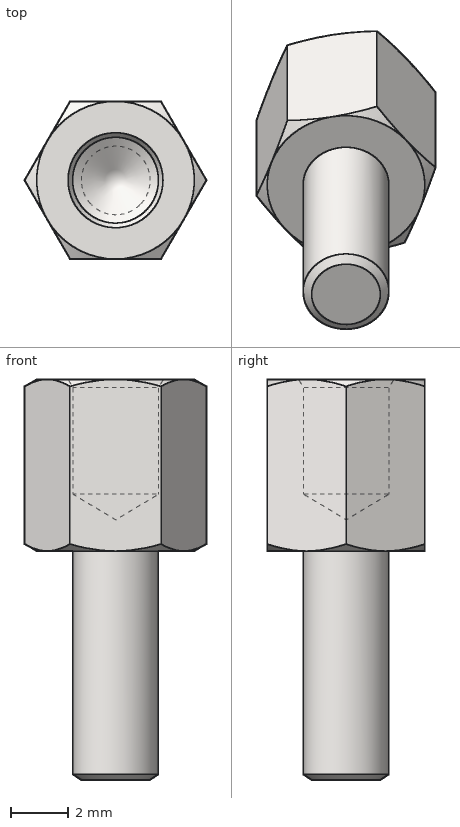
import cadquery as cq
import math

hex_sides = 6
across_flats = 5.51
hex_height = 6.0
bevel_angle = 30.0
stud_diameter = 3.0
stud_length = 8.0
stud_tip_drop = 0.2
stud_tip_inset = 0.3
hole_diameter = 3.0
hole_depth = 4.0
hole_mouth_diameter = 3.32
hole_mouth_angle = 60.0
drill_point_angle = 118.0

across_corners = across_flats / math.cos(math.pi / hex_sides)
flat_radius = across_flats / 2
corner_radius = across_corners / 2
bevel_drop = (corner_radius - flat_radius) * math.tan(math.radians(bevel_angle))
stud_radius = stud_diameter / 2
hole_radius = hole_diameter / 2
hole_mouth_radius = hole_mouth_diameter / 2
hole_mouth_drop = (hole_mouth_radius - hole_radius) / math.tan(math.radians(hole_mouth_angle / 2))
drill_point_drop = hole_radius / math.tan(math.radians(drill_point_angle / 2))


def revolved(profile):
    """Turn a closed (radius, height) profile about the Z axis."""
    return cq.Workplane("XZ").polyline(profile).close().revolve(360, (0, 0), (0, 1))


def hex_body():
    """Hexagonal head on z = 0, its corners bevelled at both ends by a turned envelope."""
    prism = cq.Workplane("XY").polygon(hex_sides, across_corners).extrude(hex_height)
    envelope = revolved([
        (0, 0),
        (flat_radius, 0),
        (corner_radius, bevel_drop),
        (corner_radius, hex_height - bevel_drop),
        (flat_radius, hex_height),
        (0, hex_height),
    ])
    return prism.intersect(envelope)


def stud():
    """Plain stud below the head, with a tapered tip."""
    return revolved([
        (0, 0),
        (stud_radius, 0),
        (stud_radius, stud_tip_drop - stud_length),
        (stud_radius - stud_tip_inset, -stud_length),
        (0, -stud_length),
    ])


def blind_hole():
    """Drilled hole from the top of the head, with a bevelled mouth and a conical bottom."""
    return revolved([
        (0, hex_height),
        (hole_mouth_radius, hex_height),
        (hole_radius, hex_height - hole_mouth_drop),
        (hole_radius, hex_height - hole_depth),
        (0, hex_height - hole_depth - drill_point_drop),
    ])


result = hex_body().union(stud()).cut(blind_hole())